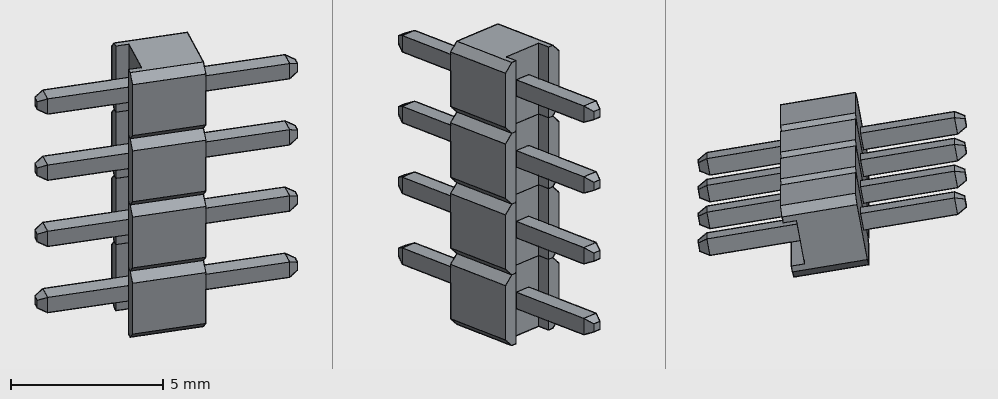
import cadquery as cq

module_count = 4
pitch = 2.54
housing_width = 2.54
housing_depth = 2.5
corner_chamfer = 0.29
recess_width = 1.53
recess_depth = 0.45
pin_side = 0.59
tip_side = 0.29
tip_length = 0.31
front_reach = 2.94
back_reach = 3.44

housing_front = -housing_depth / 2
housing_back = housing_depth / 2
front_shoulder = housing_front - front_reach + tip_length
back_shoulder = housing_back + back_reach - tip_length


def make_housing():
    """Block with chamfered long corners and a channel across its -Y face."""
    block = cq.Workplane("XY").box(housing_width, housing_depth, pitch)
    block = block.edges("|Y").chamfer(corner_chamfer)
    channel = (
        cq.Workplane("XY")
        .box(recess_width, recess_depth, pitch)
        .translate((0, housing_front + recess_depth / 2, 0))
    )
    return block.cut(channel)


def make_tip(shoulder, direction):
    """Tapered pin end that runs from the shoulder toward +Y (1) or -Y (-1)."""
    base_plane = cq.Plane(origin=(0, shoulder, 0), xDir=(1, 0, 0), normal=(0, direction, 0))
    return (
        cq.Workplane(base_plane)
        .rect(pin_side, pin_side)
        .workplane(offset=tip_length)
        .rect(tip_side, tip_side)
        .loft(ruled=True)
    )


def make_pin():
    """Square shank along Y with a tapered tip at both ends."""
    shank_length = back_shoulder - front_shoulder
    shank_middle = (front_shoulder + back_shoulder) / 2
    shank = cq.Workplane("XY").box(pin_side, shank_length, pin_side).translate((0, shank_middle, 0))
    return shank.union(make_tip(front_shoulder, -1)).union(make_tip(back_shoulder, 1))


def make_module(center_z):
    """One header position: housing and pin in one piece."""
    return make_housing().union(make_pin()).translate((0, 0, center_z))


modules = []
for index in range(module_count):
    center_z = (index - (module_count - 1) / 2) * pitch
    modules.append(make_module(center_z).solids().val())

result = cq.Compound.makeCompound(modules)